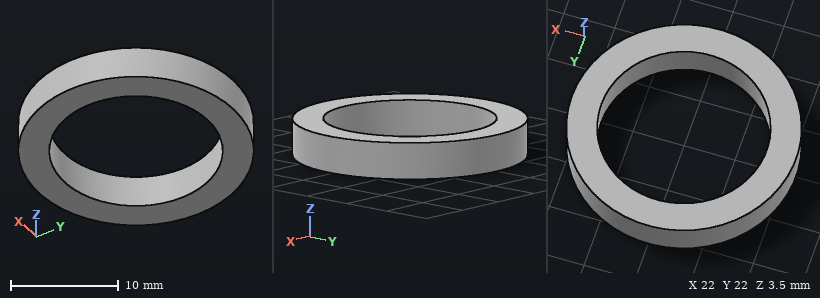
import cadquery as cq

outer_diameter = 22.0
hole_diameter = 16.2
thickness = 3.5

result = (
    cq.Workplane("XY")
    .circle(outer_diameter / 2)
    .circle(hole_diameter / 2)
    .extrude(thickness)
)